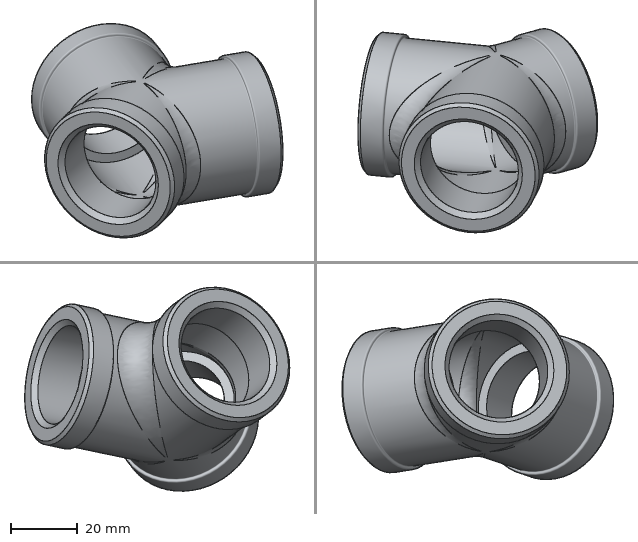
import cadquery as cq
import math


overall_width = 82.7
inlet_length = 23.0
collar_diameter = 43.1

collar_length = 8.0
collar_chamfer = 1.0
collar_back_round = 0.5
collar_root_round = 0.25

body_diameter = 41.0
cavity_diameter = 36.1
bore_diameter = 30.1
bore_chamfer = 1.6
bore_depth = 15.0

outer_crotch_radius = 8.0
inner_crotch_radius = 4.0

inlet_angle = 270.0
right_branch_angle = 45.0
left_branch_angle = 135.0

branch_length = overall_width / 2 / math.cos(math.radians(45)) - collar_diameter / 2 + collar_chamfer

legs = [
    (inlet_angle, inlet_length),
    (right_branch_angle, branch_length),
    (left_branch_angle, branch_length),
]

branch_half_angle = (left_branch_angle - right_branch_angle) / 2
inlet_half_angle = (inlet_angle - left_branch_angle) / 2
crotches = [
    (right_branch_angle + branch_half_angle, branch_half_angle),
    (left_branch_angle + inlet_half_angle, inlet_half_angle),
    (inlet_angle + inlet_half_angle, inlet_half_angle),
]

web_steps = 10
web_end_angle = 4.0

web_share = 0.96


def along_leg(shape, angle):
    """Turn a shape built along +X to a direction in the XY plane."""
    return shape.rotate((0, 0, 0), (0, 0, 1), angle)


def leg_cylinder(diameter, start, end):
    """A cylinder on the +X axis between two distances from the origin."""
    return cq.Workplane("YZ").workplane(offset=start).circle(diameter / 2).extrude(end - start)


def crotch_web(pipe_radius, crotch_radius, half_angle):
    """The rounded web between two pipes whose bisector is +X.

    Each level section is a sector whose point is on the Z axis and whose hollow arc rounds
    the crotch. The sections shrink with the half-width of the pipes at their height.
    """
    round_center = (pipe_radius + crotch_radius) / math.sin(math.radians(half_angle))
    arc_half_angle = math.radians(90 - half_angle) * web_share
    edge_x = round_center - crotch_radius * math.cos(arc_half_angle)
    edge_y = crotch_radius * math.sin(arc_half_angle)
    middle_x = round_center - crotch_radius

    sections = []
    for step in range(web_steps + 1):
        angle = math.radians(web_end_angle + (180 - 2 * web_end_angle) * step / web_steps)
        shrink = math.sin(angle)
        sector = (
            cq.Workplane("XY")
            .workplane(offset=-pipe_radius * math.cos(angle))
            .lineTo(edge_x * shrink, -edge_y * shrink)
            .threePointArc((middle_x * shrink, 0), (edge_x * shrink, edge_y * shrink))
            .close()
        )
        sections.append(sector.val())
    return cq.Workplane(cq.Solid.makeLoft(sections))


def pipe_junction(diameter, crotch_radius, end_gap):
    """Three pipes joined at the origin, each stopping end_gap short of its leg's end face."""
    junction = cq.Workplane("XY")
    for angle, length in legs:
        junction = junction.union(along_leg(leg_cylinder(diameter, 0, length - end_gap), angle))
    for angle, half_angle in crotches:
        web = crotch_web(diameter / 2, crotch_radius, half_angle)
        junction = junction.union(along_leg(web, angle))
    return junction


def collar(length):
    """The thickened leg end: chamfered in front, rounded behind and blended into the body."""
    body_radius = body_diameter / 2
    collar_radius = collar_diameter / 2
    back = length - collar_length
    return (
        cq.Workplane("XY")
        .moveTo(back - 2 * collar_root_round, 0)
        .lineTo(back - 2 * collar_root_round, body_radius)
        .lineTo(back - collar_root_round, body_radius)
        .radiusArc((back, body_radius + collar_root_round), -collar_root_round)
        .lineTo(back, collar_radius - collar_back_round)
        .radiusArc((back + collar_back_round, collar_radius), collar_back_round)
        .lineTo(length - collar_chamfer, collar_radius)
        .lineTo(length, collar_radius - collar_chamfer)
        .lineTo(length, 0)
        .close()
        .revolve(360, (0, 0, 0), (1, 0, 0))
    )


def bore(length):
    """The end bore with its entry chamfer."""
    hole = leg_cylinder(bore_diameter, length - bore_depth, length)
    entry = (
        cq.Workplane("YZ")
        .workplane(offset=length)
        .circle(bore_diameter / 2 + bore_chamfer)
        .workplane(offset=-bore_chamfer)
        .circle(bore_diameter / 2)
        .loft()
    )
    return hole.union(entry)


result = pipe_junction(body_diameter, outer_crotch_radius, collar_length / 2)
for angle, length in legs:
    result = result.union(along_leg(collar(length), angle))

cavity = pipe_junction(cavity_diameter, inner_crotch_radius, bore_depth)
inlet_block = cq.Workplane("XY").box(overall_width, bore_depth, collar_diameter)
cavity = cavity.cut(inlet_block.translate((0, bore_depth / 2 - inlet_length, 0)))
result = result.cut(cavity)
for angle, length in legs:
    result = result.cut(along_leg(bore(length), angle))

result = cq.Workplane(result.solids().val())